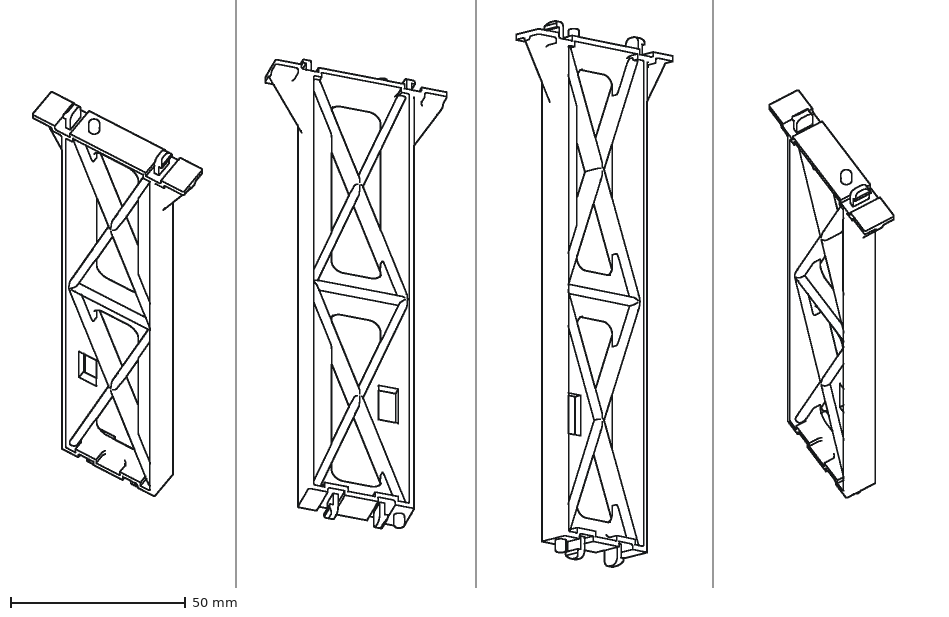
import cadquery as cq
import math

tolerance = 0.002

depth = 10.0
half_height = 74.0
half_width = 16.0
wing_half_width = 52.0 / 2
wall = 1.5
edge_radius = 0.5

step = 1.5
step_wall = 1.0
step_radius = 0.8
top_recess_inner = 13.0
top_recess_outer = 18.2
bottom_recess_inner = 5.0
bottom_recess_outer = 10.2

web_thickness = 2.5
plate_fillet = 1.0
wall_fillet = 0.5
window_half_width = 7.7
window_near = 6.8
window_far = 66.1
window_radius = 3.5
slot_left = -12.4
slot_right = -6.5
slot_top = -30.5
slot_bottom = -42.4

rib_width = 2.4
rib_edge_radius = 1.1
rib_depth = 6.9
rib_corner_x = 14.1

gusset_bottom = 54.0
gusset_rim_radius = 0.6
gusset_end_height = 1.0
gusset_fillet = 0.6

hook_height = 4.5
hook_thickness = 1.5
hook_breadth = 5.5
hook_corner_radius = 2.0
barb_height = 2.2
barb_reach = 1.0
barb_side = 1.1
top_hook_outer = half_width
bottom_hook_outer = 7.8

pin_diameter = 3.1
pin_length = 3.5
pin_edge_radius = 0.6
top_pin_x = -8.0
bottom_pin_x = -13.0


def mirrored(right_half):
    """Close an outline listed bottom to top on the +X side."""
    return right_half + [(-x, z) for x, z in reversed(right_half)]


def prism(points, thickness):
    """Extrude an XZ outline symmetrically about Y = 0."""
    return cq.Workplane("XZ").polyline(points).close().extrude(thickness / 2, both=True)


def block(x_min, x_max, z_min, z_max, thickness):
    return prism([(x_min, z_min), (x_max, z_min), (x_max, z_max), (x_min, z_max)], thickness)


def edges_where(solid, wanted):
    """Select the edges whose bounding box passes a test."""
    chosen = [edge for edge in solid.edges().vals() if wanted(edge.BoundingBox())]
    return solid.newObject(chosen)


inner_x = half_width - wall
inner_z = half_height - wall
recess_z = half_height - step
inner_recess_z = recess_z - wall


def make_frame():
    outline = mirrored([
        (bottom_recess_inner, -half_height),
        (bottom_recess_inner, -recess_z),
        (bottom_recess_outer, -recess_z),
        (bottom_recess_outer, -half_height),
        (half_width, -half_height),
        (half_width, inner_recess_z),
        (top_recess_outer + step_wall, inner_recess_z),
        (top_recess_outer + step_wall, inner_z),
        (wing_half_width, inner_z),
        (wing_half_width, half_height),
        (top_recess_outer, half_height),
        (top_recess_outer, recess_z),
        (top_recess_inner, recess_z),
        (top_recess_inner, half_height),
    ])
    cavity = mirrored([
        (bottom_recess_inner - step_wall, -inner_z),
        (bottom_recess_inner - step_wall, -inner_recess_z),
        (bottom_recess_outer + step_wall, -inner_recess_z),
        (bottom_recess_outer + step_wall, -inner_z),
        (inner_x, -inner_z),
        (inner_x, inner_recess_z),
        (top_recess_inner - step_wall, inner_recess_z),
        (top_recess_inner - step_wall, inner_z),
    ])
    rounded_corners = [
        (bottom_recess_outer, -recess_z),
        (half_width, inner_recess_z),
        (top_recess_outer + step_wall, inner_z),
        (top_recess_outer, recess_z),
    ]

    def is_rounded_corner(box):
        return any(
            math.hypot(abs(box.center.x) - x, box.center.z - z) < tolerance for x, z in rounded_corners
        )

    solid = edges_where(prism(outline, depth), is_rounded_corner).fillet(step_radius)
    frame = solid.cut(prism(cavity, depth))
    web = prism(cavity, web_thickness)
    return frame.union(web)


def on_web_face(box):
    return box.ylen < tolerance and abs(abs(box.center.y) - web_thickness / 2) < tolerance


def is_outer_corner(box):
    """Front and rear upright edges of the side walls and of the wing ends."""
    at_side = min(abs(abs(box.center.x) - x) for x in (half_width, wing_half_width)) < tolerance
    return at_side and box.xlen < tolerance and box.ylen < tolerance and abs(box.center.y) > web_thickness


def make_gusset(side):
    hidden_x = top_recess_outer + step_wall / 2
    root_x = side * (half_width - wall / 2)
    gusset = prism([
        (root_x, gusset_bottom),
        (side * half_width, gusset_bottom),
        (side * wing_half_width, inner_z - gusset_end_height),
        (side * wing_half_width, inner_z + wall / 2),
        (side * hidden_x, inner_z + wall / 2),
        (side * hidden_x, inner_recess_z + wall / 2),
        (root_x, inner_recess_z + wall / 2),
    ], web_thickness)
    sloping_rim = edges_where(gusset, lambda box: on_web_face(box) and box.xlen > 4.7 and box.zlen > 4.7)
    return sloping_rim.fillet(gusset_rim_radius)


def round_junctions(body):
    """Round the outer corners, then fillet the web and the gussets into the plates and walls."""
    def is_wall_root(box):
        return on_web_face(box) and abs(abs(box.center.x) - inner_x) < tolerance

    def is_plate_root(box):
        return on_web_face(box) and abs(box.center.x) < inner_x - wall_fillet / 2

    def is_gusset_root(box):
        sloping_rim = box.xlen > 4.7 and box.zlen > 4.7
        return on_web_face(box) and half_width - tolerance < abs(box.center.x) \
            and abs(box.center.x) < wing_half_width - tolerance and not sloping_rim

    body = edges_where(body, is_plate_root).fillet(plate_fillet)
    body = edges_where(body, is_wall_root).fillet(wall_fillet)
    body = edges_where(body, is_gusset_root).fillet(gusset_fillet)
    return edges_where(body, is_outer_corner).fillet(edge_radius)


def cut_windows(body):
    for z_sign in (-1, 1):
        window = block(
            -window_half_width, window_half_width,
            min(z_sign * window_near, z_sign * window_far),
            max(z_sign * window_near, z_sign * window_far),
            depth,
        ).edges("|Y").fillet(window_radius)
        body = body.cut(window)

    def is_window_rim(box):
        return on_web_face(box) and abs(box.center.x) < window_half_width + tolerance \
            and window_near - tolerance < abs(box.center.z) < window_far + tolerance

    return edges_where(body, is_window_rim).fillet(edge_radius)


def make_rib(start, end):
    """A bar between two (x, z) points whose long edges are rounded almost to a crest."""
    length = math.hypot(end[0] - start[0], end[1] - start[1])
    angle = math.degrees(math.atan2(end[1] - start[1], end[0] - start[0]))
    bar = cq.Workplane("XY").box(length, rib_depth, rib_width, centered=(False, True, True))
    bar = bar.edges("|X").fillet(rib_edge_radius)
    return bar.rotate((0, 0, 0), (0, 1, 0), -angle).translate((start[0], 0, start[1]))


def make_ribs():
    ribs = make_rib((-half_width, 0), (half_width, 0))
    for z_end in (-half_height, half_height):
        for side in (-1, 1):
            ribs = ribs.union(make_rib((-side * rib_corner_x, 0), (side * rib_corner_x, z_end)))
    limits = block(
        -inner_x - wall / 2, inner_x + wall / 2,
        -inner_z - wall / 2, inner_recess_z + wall / 2,
        depth,
    )
    return ribs.intersect(limits)


def make_slot_panel():
    """Web that closes the lower window between its left edge and the ribs, where the slot is cut."""
    edge_x = window_half_width + edge_radius
    middle_z = -half_height / 2
    rise = half_height / 2 * edge_x / rib_corner_x
    return prism([(0, middle_z), (-edge_x, middle_z + rise), (-edge_x, middle_z - rise)], web_thickness)


def make_hook(stem_outer_x):
    """Upward hook in the top recess on the -X side, its barb toward -X."""
    tip_z = half_height + hook_height
    barb_base_z = tip_z - barb_height
    base_z = recess_z - wall / 2
    stem_x = -stem_outer_x
    barb_x = stem_x - barb_reach
    outline = [
        (stem_x, base_z),
        (stem_x, barb_base_z),
        (barb_x, barb_base_z),
        (barb_x, barb_base_z + barb_side),
        (stem_x, tip_z),
        (stem_x + hook_thickness, tip_z),
        (stem_x + hook_thickness, base_z),
    ]
    rounded_ends = (
        cq.Workplane("YZ").rect(hook_breadth, 2 * tip_z)
        .extrude(half_width + hook_breadth, both=True)
        .edges("|X").fillet(hook_corner_radius)
    )
    return prism(outline, hook_breadth).intersect(rounded_ends)


def make_pin(x):
    """Upward pin on the top plate."""
    pin = cq.Workplane("XY").circle(pin_diameter / 2).extrude(pin_length + wall / 2)
    return pin.faces(">Z").edges().fillet(pin_edge_radius).translate((x, 0, half_height - wall / 2))


body = make_frame()
for side in (-1, 1):
    body = body.union(make_gusset(side))
body = cut_windows(round_junctions(body))
body = body.union(make_ribs()).union(make_slot_panel())
body = body.cut(block(slot_left, slot_right, slot_bottom, slot_top, depth))

top_hook = make_hook(top_hook_outer)
bottom_hook = make_hook(bottom_hook_outer).mirror("XY")
for hook in (top_hook, bottom_hook):
    body = body.union(hook).union(hook.mirror("YZ"))

body = body.union(make_pin(top_pin_x)).union(make_pin(bottom_pin_x).mirror("XY"))
result = body